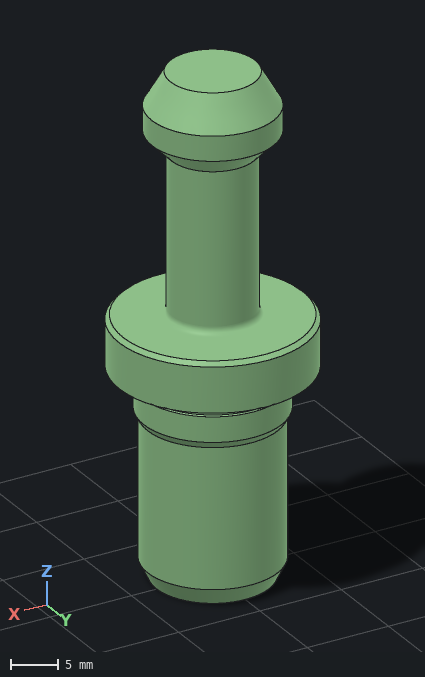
import cadquery as cq
import math

total_height = 60.0
flange_bottom = 25.0
flange_thickness = 6.0
collar_bottom = 20.0
groove_height = 1.8
shank_tip_height = 2.2

shank_diameter = 16.0
shank_tip_diameter = 13.85
collar_diameter = 17.0
groove_diameter = 16.7
flange_diameter = 23.0
neck_diameter = 10.0
head_diameter = 15.0

head_cone_height = 4.0
head_band_height = 3.0
head_cone_angle = 30.0
head_underside_angle = 45.0

collar_taper_angle = 30.0
flange_chamfer = 0.5
neck_fillet = 1.0
groove_fillet = 0.3

shank_radius = shank_diameter / 2
shank_tip_radius = shank_tip_diameter / 2
collar_radius = collar_diameter / 2
groove_radius = groove_diameter / 2
flange_radius = flange_diameter / 2
neck_radius = neck_diameter / 2
head_radius = head_diameter / 2

collar_taper_height = (collar_radius - shank_radius) / math.tan(math.radians(collar_taper_angle))
collar_shoulder_height = collar_radius - groove_radius
collar_top = flange_bottom - groove_height
flange_top = flange_bottom + flange_thickness
head_top_radius = head_radius - head_cone_height * math.tan(math.radians(head_cone_angle))
head_band_top = total_height - head_cone_height
head_band_bottom = head_band_top - head_band_height
head_underside_height = (head_radius - neck_radius) / math.tan(math.radians(head_underside_angle))
neck_top = head_band_bottom - head_underside_height


def concave_arc(profile, corner_radius, corner_height, fillet, outward):
    """Fillet an inside corner between a cylinder and a flat face of the flange.

    With outward=True the arc runs from the cylinder up to the flange underside;
    otherwise it runs from the flange top up to the cylinder.
    """
    away = -1 if outward else 1
    on_cylinder = (corner_radius, corner_height + away * fillet)
    on_face = (corner_radius + fillet, corner_height)
    offset = fillet * (1 - math.sqrt(0.5))
    middle = (corner_radius + offset, corner_height + away * offset)
    start, end = (on_cylinder, on_face) if outward else (on_face, on_cylinder)
    return profile.lineTo(*start).threePointArc(middle, end)


def half_profile():
    """Half section of the stud, from the bottom of the axis up to its top."""
    profile = cq.Workplane("XZ").moveTo(0, 0)

    profile = profile.lineTo(shank_tip_radius, 0)
    profile = profile.lineTo(shank_radius, shank_tip_height)
    profile = profile.lineTo(shank_radius, collar_bottom - collar_taper_height)

    profile = profile.lineTo(collar_radius, collar_bottom)
    profile = profile.lineTo(collar_radius, collar_top - collar_shoulder_height)
    profile = profile.lineTo(groove_radius, collar_top)
    profile = concave_arc(profile, groove_radius, flange_bottom, groove_fillet, outward=True)

    profile = profile.lineTo(flange_radius, flange_bottom)
    profile = profile.lineTo(flange_radius, flange_top - flange_chamfer)
    profile = profile.lineTo(flange_radius - flange_chamfer, flange_top)

    profile = concave_arc(profile, neck_radius, flange_top, neck_fillet, outward=False)
    profile = profile.lineTo(neck_radius, neck_top)

    profile = profile.lineTo(head_radius, head_band_bottom)
    profile = profile.lineTo(head_radius, head_band_top)
    profile = profile.lineTo(head_top_radius, total_height)
    return profile.lineTo(0, total_height).close()


result = half_profile().revolve(360, (0, 0, 0), (0, 1, 0))